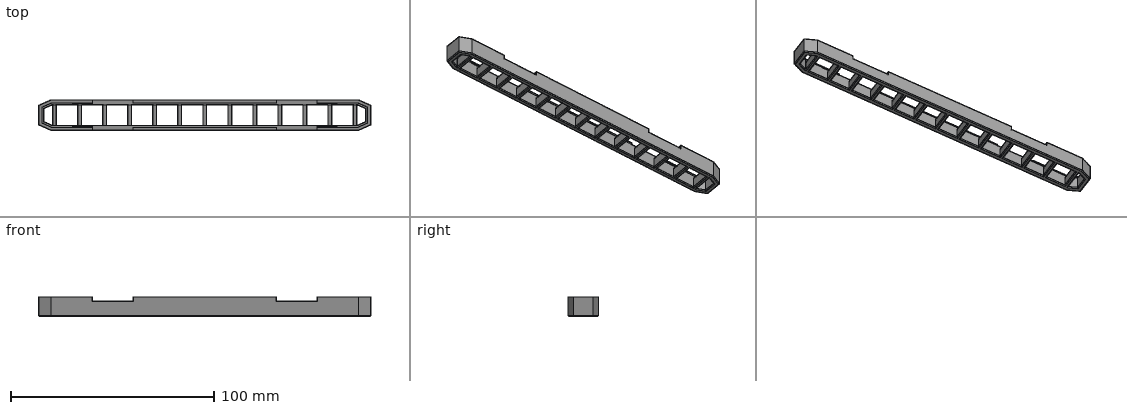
import cadquery as cq

LENGTH = 163.3
WIDTH = 15.0
HEIGHT = 9.6
END_WIDTH = 9.6
TAPER_LENGTH = 6.0
BOTTOM_CHAMFER = 0.5

LIP = 1.5
LEDGE_WIDTH = 1.0
WALL = LIP + LEDGE_WIDTH
LIP_HEIGHT = 2.1
LEDGE_Z = HEIGHT - LIP_HEIGHT

NOTCH_LENGTH = 20.1
NOTCH_CENTER = 45.2

RIDGE_LENGTH = 9.8
RIDGE_DEPTH = 0.3
RIDGE_HEIGHT = 1.0
RIDGE_ABOVE_LEDGE = 1.3

RIB_COUNT = 13
RIB_THICKNESS = 2.0
RIB_SPAN = 147.8
RIB_PITCH = RIB_SPAN / (RIB_COUNT - 1)
RIB_DROP = 1.6
RIB_TOP = LEDGE_Z - RIB_DROP


def elongated_octagon(inset, bottom, top):
    """Prism with the frame outline moved inward by inset."""
    x_end = LENGTH / 2
    x_side = x_end - TAPER_LENGTH
    y_end = END_WIDTH / 2
    y_side = WIDTH / 2
    corners = [
        (x_end, y_end), (x_side, y_side), (-x_side, y_side), (-x_end, y_end),
        (-x_end, -y_end), (-x_side, -y_side), (x_side, -y_side), (x_end, -y_end),
    ]
    outline = cq.Workplane("XY").workplane(offset=bottom).polyline(corners).close()
    if inset > 0:
        outline = outline.offset2D(-inset)
    return outline.extrude(top - bottom)


def make_frame():
    """Open ring with a ledge around its upper inner edge."""
    opening = elongated_octagon(WALL, 0, HEIGHT)
    lip_recess = elongated_octagon(LIP, LEDGE_Z, HEIGHT)
    return elongated_octagon(0, 0, HEIGHT).cut(opening).cut(lip_recess)


def make_ribs():
    """Row of cross ribs whose ends sit inside the side walls."""
    rib_length = WIDTH - WALL
    return (
        cq.Workplane("XY")
        .rarray(RIB_PITCH, 1.6, RIB_COUNT, 1)
        .rect(RIB_THICKNESS, rib_length)
        .extrude(RIB_TOP)
    )


def make_notches():
    """Cutters that remove the lip down to the ledge."""
    return (
        cq.Workplane("XY")
        .workplane(offset=LEDGE_Z)
        .rarray(2 * NOTCH_CENTER, 1.6, 2, 1)
        .rect(NOTCH_LENGTH, WIDTH)
        .extrude(LIP_HEIGHT)
    )


def make_ridge():
    """Triangular ridge on the +Y lip, starting at the +X notch."""
    lip_face = WIDTH / 2 - LIP
    z_mid = LEDGE_Z + RIDGE_ABOVE_LEDGE
    profile = [
        (lip_face, z_mid - RIDGE_HEIGHT / 2),
        (lip_face - RIDGE_DEPTH, z_mid),
        (lip_face, z_mid + RIDGE_HEIGHT / 2),
    ]
    start = NOTCH_CENTER + NOTCH_LENGTH / 2
    return cq.Workplane("YZ").workplane(offset=start).polyline(profile).close().extrude(RIDGE_LENGTH)


ladder = make_frame().union(make_ribs()).faces("<Z").chamfer(BOTTOM_CHAMFER)

ridge = make_ridge()
ridge_pair = ridge.union(ridge.mirror("XZ"))

result = ladder.cut(make_notches()).union(ridge_pair).union(ridge_pair.mirror("YZ"))